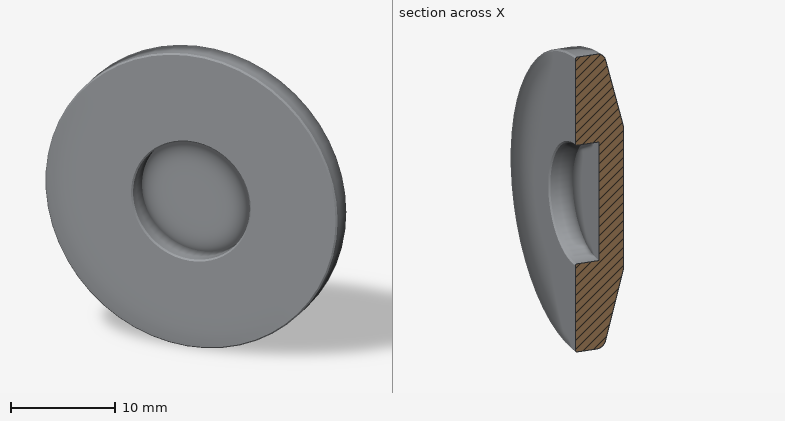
import cadquery as cq
import math

outer_diameter = 30.0
thickness = 5.1
face_y = -thickness / 2
crown_y = thickness / 2

cone_angle = 15.0
crown_flat_radius = 7.25
shoulder_fillet = 1.0

pocket_diameter = 12.0
pocket_depth = 2.5

edge_chamfer = 0.15

outer_radius = outer_diameter / 2
pocket_radius = pocket_diameter / 2
cone_height = (outer_radius - crown_flat_radius) * math.tan(math.radians(cone_angle))
shoulder_y = crown_y - cone_height


def shoulder_arc():
    """Start, middle and end (radius, y) of the arc blending the rim into the cone."""
    turn = math.radians(90 - cone_angle)
    center_radius = outer_radius - shoulder_fillet
    center_y = shoulder_y - shoulder_fillet * math.tan(turn / 2)
    return [
        (
            center_radius + shoulder_fillet * math.cos(angle),
            center_y + shoulder_fillet * math.sin(angle),
        )
        for angle in (0, turn / 2, turn)
    ]


def disc():
    """Revolved half-section of the disc, without the pocket."""
    arc_start, arc_middle, arc_end = shoulder_arc()
    return (
        cq.Workplane("XY")
        .moveTo(0, face_y)
        .lineTo(outer_radius - edge_chamfer, face_y)
        .lineTo(outer_radius, face_y + edge_chamfer)
        .lineTo(*arc_start)
        .threePointArc(arc_middle, arc_end)
        .lineTo(crown_flat_radius, crown_y)
        .lineTo(0, crown_y)
        .close()
        .revolve(360, (0, 0), (0, 1))
    )


def pocket():
    """Revolved half-section of the pocket, flared at its mouth by the chamfer."""
    floor_y = face_y + pocket_depth
    return (
        cq.Workplane("XY")
        .moveTo(0, face_y)
        .lineTo(pocket_radius + edge_chamfer, face_y)
        .lineTo(pocket_radius, face_y + edge_chamfer)
        .lineTo(pocket_radius, floor_y)
        .lineTo(0, floor_y)
        .close()
        .revolve(360, (0, 0), (0, 1))
    )


result = disc().cut(pocket())